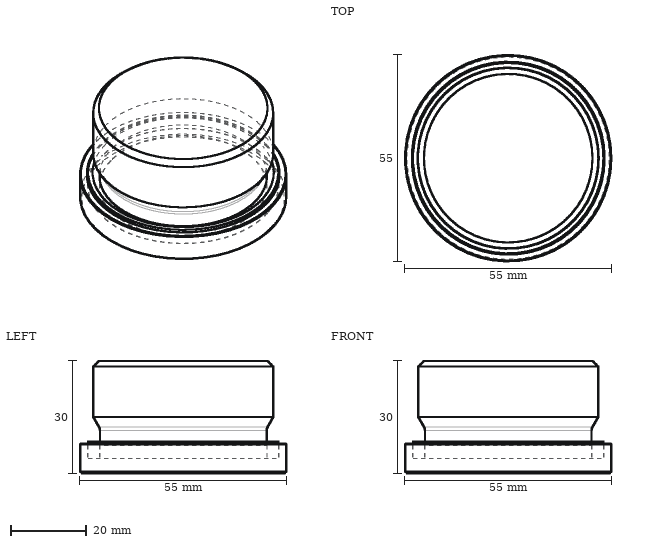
import cadquery as cq
import math

base_diameter = 55.0
base_height = 8.0
bottom_chamfer = 0.55
edge_break = 0.2
neck_diameter = 44.5
neck_fillet = 2.0
head_diameter = 48.0
head_bottom = 15.0
head_chamfer = 1.55
total_height = 30.0
undercut_angle = 30.0

groove_diameter = 51.0
groove_floor = 4.0

seal_outer_diameter = 50.7
seal_inner_diameter = 44.7
seal_top = 8.5
dish_diameter = 48.3
dish_angle = 30.0

neck_radius = neck_diameter / 2
head_radius = head_diameter / 2


def make_base():
    """Round base with a chamfered bottom rim and an annular groove in its top."""
    base = cq.Workplane("XY").circle(base_diameter / 2).extrude(base_height)
    base = base.faces("<Z").edges().chamfer(bottom_chamfer)
    groove = (
        cq.Workplane("XY")
        .workplane(offset=groove_floor)
        .circle(groove_diameter / 2)
        .extrude(base_height - groove_floor)
    )
    return base.cut(groove).faces(">Z").edges().chamfer(edge_break)


def make_stem():
    """Neck rising from the groove floor through a filleted undercut to the head."""
    angle = math.radians(undercut_angle)
    undercut_height = (head_radius - neck_radius) / math.tan(angle)
    neck_top = head_bottom - undercut_height
    tangent_length = neck_fillet * math.tan(angle / 2)
    fillet_start = (neck_radius, neck_top - tangent_length)
    fillet_middle = (
        neck_radius + neck_fillet * (1 - math.cos(angle / 2)),
        fillet_start[1] + neck_fillet * math.sin(angle / 2),
    )
    fillet_end = (
        neck_radius + tangent_length * math.sin(angle),
        neck_top + tangent_length * math.cos(angle),
    )
    return (
        cq.Workplane("XZ")
        .moveTo(0, groove_floor)
        .lineTo(neck_radius, groove_floor)
        .lineTo(*fillet_start)
        .threePointArc(fillet_middle, fillet_end)
        .lineTo(head_radius, head_bottom)
        .lineTo(head_radius, total_height - head_chamfer)
        .lineTo(head_radius - head_chamfer, total_height)
        .lineTo(0, total_height)
        .close()
        .revolve(360, (0, 0, 0), (0, 1, 0))
    )


def make_seal():
    """Flat ring whose top dips as a shallow cone towards its bore."""
    outer_radius = seal_outer_diameter / 2
    inner_radius = seal_inner_diameter / 2
    dish_radius = dish_diameter / 2
    dish_depth = (dish_radius - inner_radius) * math.tan(math.radians(dish_angle))
    return (
        cq.Workplane("XZ")
        .moveTo(inner_radius, groove_floor)
        .lineTo(outer_radius, groove_floor)
        .lineTo(outer_radius, seal_top)
        .lineTo(dish_radius, seal_top)
        .lineTo(inner_radius, seal_top - dish_depth)
        .close()
        .revolve(360, (0, 0, 0), (0, 1, 0))
    )


piston = make_base().union(make_stem())
seal = make_seal()
result = cq.Compound.makeCompound([piston.val(), seal.val()])